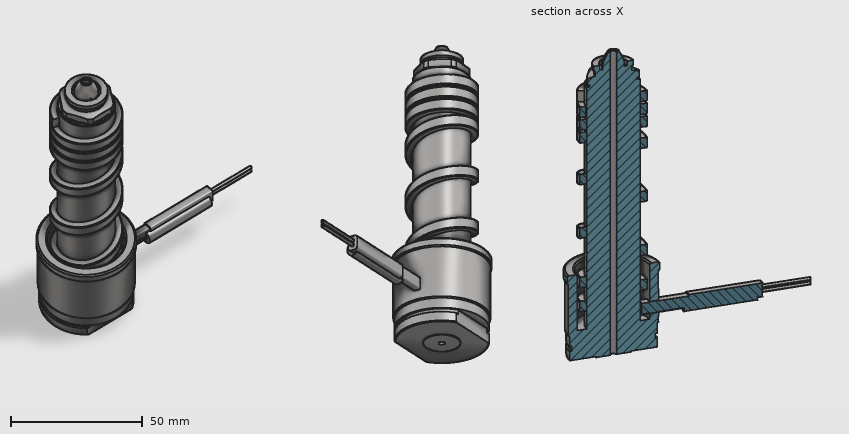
import cadquery as cq
import math

TIP_Z = 125.2
TIP_CONE_Z = 122.8
COLLAR_TOP_Z = 120.2
COLLAR_BOTTOM_Z = 118.2
NECK_BOTTOM_Z = 116.2
HEX_EDGE_Z = 115.4
HEX_BOTTOM_Z = 112.5
TUBE_TOP_Z = 112.0
HEAD_TOP_Z = 35.5
HEAD_RIM_Z = 32.3
HEAD_BOTTOM_Z = 10.8
FLANGE_GROOVE_TOP_Z = 6.1
FLANGE_GROOVE_BOTTOM_Z = 4.4
FOOT_Z = 0.4

BORE_R = 1.3
TIP_END_R = 2.1
TIP_CONE_R = 3.5
TIP_BULGE_R = 4.1
TIP_BASE_R = 4.5
TIP_RECESS_R = 5.5
COLLAR_R = 8.1
NECK_R = 7.5
HEX_CORNER_R = 10.6
HEX_ACROSS_FLATS = 19.4
UNDERCUT_R = 9.8
TUBE_R = 11.0
RIM_R = 19.0
HEAD_R = 18.5
FLANGE_R = 18.0
FLANGE_GROOVE_R = 17.2
FOOT_R = 7.1
CAVITY_R = 14.8
CAVITY_FLOOR_Z = 12.5

TIP_RECESS_DEPTH = 1.9
COLLAR_CHAMFER = 0.5
BORE_COUNTERSINK = 0.5
TUBE_CHAMFER = 0.4
RIM_CHAMFER = 0.6
HEAD_CHAMFER = 0.5
FLANGE_CHAMFER = 0.4
CAVITY_CHAMFER = 0.6
WRENCH_FLAT_X = 14.3

COIL_INNER_R = 11.1
COIL_OUTER_R = 13.9
COIL_HEIGHT = 4.5
COIL_CHAMFER = 0.4
COIL_POINT_STEP = 10.0
COIL_START_ANGLE = 90.0
LOWER_END_ANGLE = 679.0
MIDDLE_END_ANGLE = 1530.0
UPPER_START_ANGLE = 1680.0
COIL_END_ANGLE = 2774.0
COIL_START_Z = 17.2
MIDDLE_PITCH = 22.0
UPPER_PITCH = 5.3
LOWER_END_Z = 33.3

LEAD_X = -1.4
LEAD_ROOT_Y = 11.4
LEAD_Z = COIL_START_Z
LEAD_WIDTH = 3.0
LEAD_HEIGHT = 5.3
LEAD_FILLET = 0.6
SHEATH_WIDTH = 4.0
SHEATH_HEIGHT = 6.0
SHEATH_FILLET = 1.0
SHEATH_START_Y = 30.8
SHEATH_END_Y = 61.0
WIRE_D = 1.3
WIRE_SPACING = 1.9
WIRE_END_Y = 81.0
SENSOR_X = 0.0
SENSOR_Z = 15.9
SENSOR_SLEEVE_R = 2.6
SENSOR_WIRE_R = 0.6
SENSOR_START_Y = 28.8
SENSOR_END_Y = 59.0


def make_turned_blank():
    """Revolved outside of the head, tube, neck and collar, without the hexagon and tip."""
    profile = (
        cq.Workplane("XZ")
        .moveTo(0, 0)
        .lineTo(FOOT_R, 0)
        .lineTo(FOOT_R, FOOT_Z)
        .lineTo(FLANGE_R - FLANGE_CHAMFER, FOOT_Z)
        .lineTo(FLANGE_R, FOOT_Z + FLANGE_CHAMFER)
        .lineTo(FLANGE_R, FLANGE_GROOVE_BOTTOM_Z)
        .lineTo(FLANGE_GROOVE_R, FLANGE_GROOVE_BOTTOM_Z)
        .lineTo(FLANGE_GROOVE_R, FLANGE_GROOVE_TOP_Z)
        .lineTo(FLANGE_R, FLANGE_GROOVE_TOP_Z)
        .lineTo(FLANGE_R, HEAD_BOTTOM_Z - HEAD_CHAMFER)
        .lineTo(HEAD_R, HEAD_BOTTOM_Z)
        .lineTo(HEAD_R, HEAD_RIM_Z - HEAD_CHAMFER)
        .lineTo(RIM_R, HEAD_RIM_Z)
        .lineTo(RIM_R, HEAD_TOP_Z - RIM_CHAMFER)
        .lineTo(RIM_R - RIM_CHAMFER, HEAD_TOP_Z)
        .lineTo(TUBE_R, HEAD_TOP_Z)
        .lineTo(TUBE_R, TUBE_TOP_Z - TUBE_CHAMFER)
        .lineTo(TUBE_R - TUBE_CHAMFER, TUBE_TOP_Z)
        .lineTo(UNDERCUT_R, TUBE_TOP_Z)
        .lineTo(UNDERCUT_R, HEX_BOTTOM_Z)
        .lineTo(NECK_R, HEX_BOTTOM_Z)
        .lineTo(NECK_R, COLLAR_BOTTOM_Z - COLLAR_CHAMFER)
        .lineTo(COLLAR_R, COLLAR_BOTTOM_Z)
        .lineTo(COLLAR_R, COLLAR_TOP_Z)
        .lineTo(0, COLLAR_TOP_Z)
        .close()
    )
    return profile.revolve(360, (0, 0, 0), (0, 1, 0))


def make_hexagon():
    """Hexagon with flats facing +X and -X, rounded corners and a conical top."""
    hex_height = NECK_BOTTOM_Z - HEX_BOTTOM_Z
    prism = (
        cq.Workplane("XY", origin=(0, 0, HEX_BOTTOM_Z))
        .polygon(6, HEX_ACROSS_FLATS / math.cos(math.pi / 6))
        .extrude(hex_height)
        .rotate((0, 0, 0), (0, 0, 1), 30)
    )
    turned = (
        cq.Workplane("XZ")
        .moveTo(0, HEX_BOTTOM_Z)
        .lineTo(HEX_CORNER_R, HEX_BOTTOM_Z)
        .lineTo(HEX_CORNER_R, HEX_EDGE_Z)
        .lineTo(NECK_R, NECK_BOTTOM_Z)
        .lineTo(0, NECK_BOTTOM_Z)
        .close()
        .revolve(360, (0, 0, 0), (0, 1, 0))
    )
    return prism.intersect(turned)


def make_tip():
    """Pointed tip: a bulging lower half, a cone and a flat end."""
    root_z = COLLAR_TOP_Z - TIP_RECESS_DEPTH
    bulge_z = (COLLAR_TOP_Z + TIP_CONE_Z) / 2
    return (
        cq.Workplane("XZ")
        .moveTo(0, root_z)
        .lineTo(TIP_BASE_R, root_z)
        .lineTo(TIP_BASE_R, COLLAR_TOP_Z)
        .threePointArc((TIP_BULGE_R, bulge_z), (TIP_CONE_R, TIP_CONE_Z))
        .lineTo(TIP_END_R, TIP_Z)
        .lineTo(0, TIP_Z)
        .close()
        .revolve(360, (0, 0, 0), (0, 1, 0))
    )


def make_bore():
    """Through bore, countersunk at the tip."""
    return (
        cq.Workplane("XZ")
        .lineTo(BORE_R, 0)
        .lineTo(BORE_R, TIP_Z - BORE_COUNTERSINK)
        .lineTo(BORE_R + BORE_COUNTERSINK, TIP_Z)
        .lineTo(0, TIP_Z)
        .close()
        .revolve(360, (0, 0, 0), (0, 1, 0))
    )


def make_cavity():
    """Annular pocket around the tube, open at the top of the head."""
    return (
        cq.Workplane("XZ")
        .moveTo(TUBE_R, CAVITY_FLOOR_Z)
        .lineTo(CAVITY_R, CAVITY_FLOOR_Z)
        .lineTo(CAVITY_R, HEAD_TOP_Z - CAVITY_CHAMFER)
        .lineTo(CAVITY_R + CAVITY_CHAMFER, HEAD_TOP_Z)
        .lineTo(TUBE_R, HEAD_TOP_Z)
        .close()
        .revolve(360, (0, 0, 0), (0, 1, 0))
    )


def cylinder(radius, z_bottom, z_top):
    return cq.Workplane("XY", origin=(0, 0, z_bottom)).circle(radius).extrude(z_top - z_bottom)


def bar_along_y(width, height, fillet, y_start, y_end):
    """Rounded rectangular bar on the lead centreline."""
    length = y_end - y_start
    return (
        cq.Workplane("XY")
        .box(width, length, height)
        .edges("|Y")
        .fillet(fillet)
        .translate((LEAD_X, y_start + length / 2, LEAD_Z))
    )


def rod_along_y(x, z, radius, y_start, y_end):
    return cq.Workplane("XZ", origin=(x, y_start, z)).circle(radius).extrude(y_start - y_end)


def make_lead_root():
    """Lead and sensor wire where they leave the coil and pass through the head."""
    lead = bar_along_y(LEAD_WIDTH, LEAD_HEIGHT, LEAD_FILLET, LEAD_ROOT_Y, SHEATH_START_Y)
    sensor_wire = rod_along_y(SENSOR_X, SENSOR_Z, SENSOR_WIRE_R, LEAD_ROOT_Y, SENSOR_START_Y)
    return lead.union(sensor_wire)


def make_nozzle():
    """Nozzle body with an opening in the head for the heater lead."""
    blank = make_turned_blank()
    recess = cylinder(TIP_RECESS_R, COLLAR_TOP_Z - TIP_RECESS_DEPTH, COLLAR_TOP_Z)
    body = blank.union(make_hexagon()).cut(recess).union(make_tip())
    body = body.cut(make_bore())
    body = body.cut(make_cavity())
    flat_depth = FLANGE_R - WRENCH_FLAT_X
    flat_x = WRENCH_FLAT_X + flat_depth / 2
    for side in (-1, 1):
        flat = cq.Workplane("XY", origin=(side * flat_x, 0, 0)).rect(flat_depth, 2 * FLANGE_R)
        body = body.cut(flat.extrude(FLANGE_GROOVE_TOP_Z))
    return body.cut(make_lead_root())


def helix_edge(radius, offset_z, start_angle, turn_angle, start_pitch, end_pitch):
    """Curve of constant radius whose pitch changes evenly from start_pitch to end_pitch."""
    steps = math.ceil(turn_angle / COIL_POINT_STEP)
    points = []
    for step in range(steps + 1):
        turned = turn_angle * step / steps
        pitch = start_pitch + (end_pitch - start_pitch) * turned / turn_angle / 2
        angle = math.radians(start_angle + turned)
        height = offset_z + pitch * turned / 360
        points.append(cq.Vector(radius * math.cos(angle), radius * math.sin(angle), height))
    return cq.Edge.makeSpline(points)


def coil_section(start_z, start_angle, turn_angle, start_pitch, end_pitch):
    """Strip with chamfered outer edges, wound upwards around the tube."""
    half = COIL_HEIGHT / 2
    chamfer_r = COIL_OUTER_R - COIL_CHAMFER
    chamfer_z = half - COIL_CHAMFER
    corners = [
        (COIL_INNER_R, -half),
        (chamfer_r, -half),
        (COIL_OUTER_R, -chamfer_z),
        (COIL_OUTER_R, chamfer_z),
        (chamfer_r, half),
        (COIL_INNER_R, half),
    ]
    edges = [
        helix_edge(radius, start_z + z, start_angle, turn_angle, start_pitch, end_pitch)
        for radius, z in corners
    ]
    next_edges = edges[1:] + edges[:1]
    faces = [cq.Face.makeRuledSurface(edge, other) for edge, other in zip(edges, next_edges)]
    for ends in ([e.startPoint() for e in edges], [e.endPoint() for e in edges]):
        faces.append(cq.Face.makeFromWires(cq.Wire.makePolygon(ends, close=True)))
    return cq.Workplane(cq.Solid.makeSolid(cq.Shell.makeShell(faces)))


def make_coil():
    """Medium-pitch coil in the head, open coil along the tube and tight coil at the top."""
    lower_turn = LOWER_END_ANGLE - COIL_START_ANGLE
    lower_pitch = (LOWER_END_Z - COIL_START_Z) * 360 / lower_turn
    windings = [
        (lower_turn, lower_pitch, lower_pitch),
        (MIDDLE_END_ANGLE - LOWER_END_ANGLE, MIDDLE_PITCH, MIDDLE_PITCH),
        (UPPER_START_ANGLE - MIDDLE_END_ANGLE, MIDDLE_PITCH, UPPER_PITCH),
        (COIL_END_ANGLE - UPPER_START_ANGLE, UPPER_PITCH, UPPER_PITCH),
    ]
    coil = cq.Workplane("XY")
    angle = COIL_START_ANGLE
    height = COIL_START_Z
    for turn_angle, start_pitch, end_pitch in windings:
        coil = coil.add(coil_section(height, angle, turn_angle, start_pitch, end_pitch))
        angle += turn_angle
        height += (start_pitch + end_pitch) / 2 * turn_angle / 360
    return coil.combine()


def make_heater():
    """Coil with its lead, sheath, sensor sleeve and two bare wires as one body."""
    heater = make_coil().union(make_lead_root())
    heater = heater.union(
        bar_along_y(SHEATH_WIDTH, SHEATH_HEIGHT, SHEATH_FILLET, SHEATH_START_Y, SHEATH_END_Y)
    )
    heater = heater.union(
        rod_along_y(SENSOR_X, SENSOR_Z, SENSOR_SLEEVE_R, SENSOR_START_Y, SENSOR_END_Y)
    )
    for side in (-1, 1):
        wire_z = LEAD_Z + side * WIRE_SPACING / 2
        heater = heater.union(rod_along_y(LEAD_X, wire_z, WIRE_D / 2, SHEATH_END_Y, WIRE_END_Y))
    return heater


nozzle = make_nozzle()
heater = make_heater()

result = cq.Compound.makeCompound([nozzle.solids().val(), heater.solids().val()])